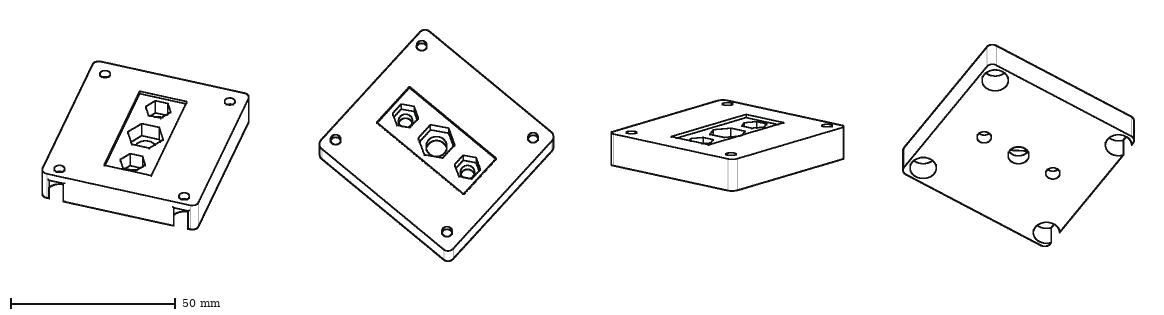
import cadquery as cq
import math

width = 50.0
length = 53.3
height = 10.0
corner_radius = 2.0

screw_diameter = 3.2
screw_head_radius = 4.0
screw_head_depth = 7.5
screw_edge_gap = 5.0
screw_front_gap = 3.3
screw_x = width / 2 - screw_edge_gap
screw_back_y = length / 2 - screw_edge_gap
screw_front_y = -length / 2 + screw_front_gap

recess_width = 15.2
recess_length = 35.05
recess_depth = 1.0
recess_floor = height - recess_depth

nut_depth = 5.0
large_nut_flats = 9.8
large_bore = 6.4
small_nut_flats = 6.95
small_bore = 4.3
small_nut_offset = 12.5


def upright_cylinder(x, y, radius, depth):
    """Cylinder standing on the underside of the plate."""
    return cq.Workplane("XY").center(x, y).circle(radius).extrude(depth)


def nut_seat(y, flats, bore):
    """Hexagonal pocket, corners along X, with a through bore below it."""
    corners = flats / math.cos(math.pi / 6)
    pocket = (
        cq.Workplane("XY", origin=(0, y, recess_floor - nut_depth))
        .polygon(6, corners)
        .extrude(nut_depth)
    )
    return pocket.union(upright_cylinder(0, y, bore / 2, recess_floor))


plate = cq.Workplane("XY").box(width, length, height, centered=(True, True, False))
plate = plate.edges("|Z").fillet(corner_radius)

for x in (-screw_x, screw_x):
    for y in (screw_front_y, screw_back_y):
        plate = plate.cut(upright_cylinder(x, y, screw_diameter / 2, height))
        plate = plate.cut(upright_cylinder(x, y, screw_head_radius, screw_head_depth))

recess = (
    cq.Workplane("XY", origin=(0, 0, recess_floor))
    .rect(recess_width, recess_length)
    .extrude(recess_depth)
)
plate = plate.cut(recess)

plate = plate.cut(nut_seat(0, large_nut_flats, large_bore))
for y in (-small_nut_offset, small_nut_offset):
    plate = plate.cut(nut_seat(y, small_nut_flats, small_bore))

result = plate